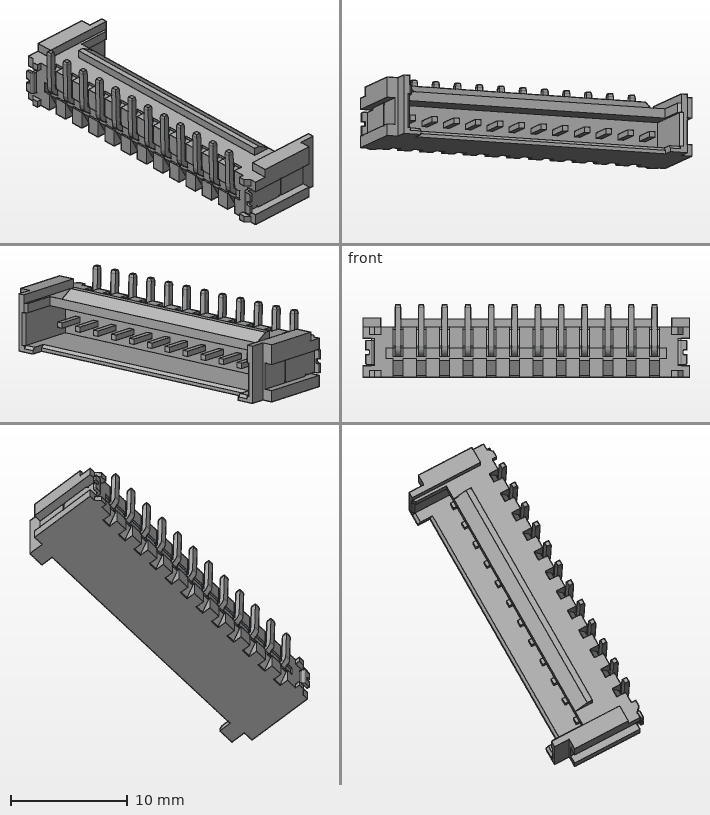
import cadquery as cq

LENGTH = 28.0
DEPTH = 8.3
HEIGHT = 6.22
HALF_LENGTH = LENGTH / 2

FRONT_Y = 0.48
BLOCK_BACK_Y = 6.85
BODY_TOP_Z = 4.3
CHEEK_TOP_Z = 5.1
CHEEK_FRONT_Y = 1.62
CHEEK_INNER_X = HALF_LENGTH - 1.55
ARM_OUTER_X = HALF_LENGTH - 0.98

CAVITY_FRONT_Y = 2.8
CAVITY_FLOOR_Z = 0.55
CAVITY_CEILING_Z = 3.5
CAVITY_HALF_X = HALF_LENGTH - 1.6
LIP_HALF_X = HALF_LENGTH - 1.8
TOP_WALL_BACK_Y = 5.1
FOOT_INNER_X = HALF_LENGTH - 2.55
LEAD_IN = 0.25

RIDGE_HALF_X = HALF_LENGTH - 3.15
RIDGE_TOP_Z = 5.0
RIDGE_FRONT_Y = 3.42
RIDGE_CREST_Y = 3.92

RECESS_BOTTOM_Z = 1.0
RECESS_TOP_Z = 3.33
NAIL_OUTER_X = HALF_LENGTH - 0.73
NAIL_TIP_X = HALF_LENGTH - 0.22
NAIL_FRONT_Y = 0.03
NAIL_THICKNESS = NAIL_OUTER_X - ARM_OUTER_X
NAIL_BACK_Y = 4.15
NAIL_SHOULDER_Y = 1.4
NAIL_BOTTOM_Z = 1.1
NAIL_TOP_Z = 3.15
NAIL_GAP = 0.08
NAIL_CORNER = 0.15
NAIL_NOTCH_BOTTOM_Z = 1.93
NAIL_NOTCH_TOP_Z = 2.35
NAIL_NOTCH_DEPTH = 0.35

BUMP_FRONT_Y = 0.05
BUMP_OUTER_X = HALF_LENGTH - 0.55
LOWER_BUMP_TOP_Z = 0.6
UPPER_BUMP_BOTTOM_Z = 3.67

GROOVE_HALF_X = HALF_LENGTH - 2.0
GROOVE_BOTTOM_Z = 1.6
GROOVE_TOP_Z = 2.52
GROOVE_BACK_Y = FRONT_Y + 0.17
NOTCH_WIDTH = 0.85
NOTCH_BACK_Y = FRONT_Y + 0.85
NOSE_BOTTOM_Z = 1.43
NOSE_TOP_Z = 2.7
NOTCH_LOWER_Z = 0.17
NOTCH_UPPER_Z = 4.1
POCKET_BOTTOM_Z = 1.75
POCKET_BACK_Y = 0.98

PIN_COUNT = 12
PIN_PITCH = 2.0
PIN_WIDTH = 0.5
PIN_THICKNESS = 0.48
PIN_FRONT_Y = 0.08
PIN_BOTTOM_Z = POCKET_BOTTOM_Z
PIN_BEND_RADIUS = 0.85
PIN_SHOULDER_Z = 5.95
PIN_TIP_INSET = 0.05
PIN_MATING_Y = 5.2


def box(x0, x1, y0, y1, z0, z1):
    """Block between two opposite corners."""
    return cq.Workplane("XY").box(x1 - x0, y1 - y0, z1 - z0, centered=False).translate((x0, y0, z0))


def centred_box(half_x, y0, y1, z0, z1):
    """Block symmetric about the middle of the part."""
    return box(-half_x, half_x, y0, y1, z0, z1)


def extrude_along_x(points, half_x):
    """Closed (Y, Z) outline extruded to both sides of the middle plane."""
    return cq.Workplane("YZ").polyline(points).close().extrude(half_x, both=True)


def both_sides(shape):
    """A +X side feature together with its mirror image."""
    return shape.union(shape.mirror("YZ"))


def pin_positions():
    """X places of the evenly spaced pins."""
    first = -PIN_PITCH * (PIN_COUNT - 1) / 2
    return [first + i * PIN_PITCH for i in range(PIN_COUNT)]


def housing_block():
    """Solid block with raised cheeks and two arms that reach back beside the mouth."""
    block = centred_box(HALF_LENGTH, FRONT_Y, BLOCK_BACK_Y, 0, BODY_TOP_Z)
    foot_reach = centred_box(FOOT_INNER_X, BLOCK_BACK_Y, BLOCK_BACK_Y + LEAD_IN, 0, CAVITY_FLOOR_Z)
    arm = box(FOOT_INNER_X, ARM_OUTER_X, BLOCK_BACK_Y, DEPTH, 0, BODY_TOP_Z)
    arm_top = box(CHEEK_INNER_X, ARM_OUTER_X, CHEEK_FRONT_Y, DEPTH, BODY_TOP_Z, CHEEK_TOP_Z)
    cheek = box(CHEEK_INNER_X, HALF_LENGTH, CHEEK_FRONT_Y, BLOCK_BACK_Y, BODY_TOP_Z, CHEEK_TOP_Z)
    return block.union(foot_reach).union(both_sides(arm.union(arm_top).union(cheek)))


def mouth_flare(half_x, z0, z1):
    """Wedge-sided block that widens by the lead-in toward the mouth."""
    return (
        cq.Workplane("XY", origin=(0, 0, z0))
        .polyline([
            (-half_x, DEPTH - LEAD_IN),
            (half_x, DEPTH - LEAD_IN),
            (half_x + LEAD_IN, DEPTH),
            (-half_x - LEAD_IN, DEPTH),
        ])
        .close()
        .extrude(z1 - z0)
    )


def floor_lead_in(back_y, half_x):
    """Wedge that bevels the back edge of the cavity floor."""
    return extrude_along_x([
        (back_y - LEAD_IN, CAVITY_FLOOR_Z),
        (back_y, CAVITY_FLOOR_Z - LEAD_IN),
        (back_y, CAVITY_FLOOR_Z),
    ], half_x)


def mouth_lead_in():
    """Flared sides and bevelled floor edges of the mouth."""
    return (
        mouth_flare(CAVITY_HALF_X, CAVITY_FLOOR_Z, CAVITY_CEILING_Z)
        .union(mouth_flare(LIP_HALF_X, CAVITY_CEILING_Z, BODY_TOP_Z))
        .union(floor_lead_in(DEPTH, CAVITY_HALF_X))
        .union(floor_lead_in(BLOCK_BACK_Y + LEAD_IN, FOOT_INNER_X))
    )


def cavity():
    """Mating opening: a wide chamber, the gap in the top wall and a flared mouth."""
    chamber = centred_box(CAVITY_HALF_X, CAVITY_FRONT_Y, DEPTH, CAVITY_FLOOR_Z, CAVITY_CEILING_Z)
    top_gap = centred_box(LIP_HALF_X, TOP_WALL_BACK_Y, DEPTH, CAVITY_CEILING_Z, BODY_TOP_Z)
    return chamber.union(top_gap).union(mouth_lead_in())


def ridge():
    """Ridge with an upright front and a slope down to the back of the top wall."""
    return extrude_along_x([
        (RIDGE_FRONT_Y, BODY_TOP_Z),
        (RIDGE_FRONT_Y, RIDGE_TOP_Z),
        (RIDGE_CREST_Y, RIDGE_TOP_Z),
        (TOP_WALL_BACK_Y, BODY_TOP_Z),
    ], RIDGE_HALF_X)


def side_recess():
    """Shallow channel along the block side, deeper where the solder nail sits."""
    seat_back_y = NAIL_BACK_Y + NAIL_GAP
    channel = box(NAIL_OUTER_X, HALF_LENGTH, FRONT_Y, BLOCK_BACK_Y, RECESS_BOTTOM_Z, RECESS_TOP_Z)
    seat = box(ARM_OUTER_X, HALF_LENGTH, FRONT_Y, seat_back_y, RECESS_BOTTOM_Z, RECESS_TOP_Z)
    return channel.union(seat)


def solder_nail():
    """Plate in the side recess whose front end bends outward into a notched solder leg."""
    leg_back_y = NAIL_FRONT_Y + NAIL_THICKNESS
    bent_plate = (
        cq.Workplane("XY", origin=(0, 0, NAIL_BOTTOM_Z))
        .moveTo(NAIL_TIP_X, NAIL_FRONT_Y)
        .lineTo(NAIL_OUTER_X, NAIL_FRONT_Y)
        .radiusArc((ARM_OUTER_X, leg_back_y), NAIL_THICKNESS)
        .lineTo(ARM_OUTER_X, NAIL_SHOULDER_Y)
        .lineTo(NAIL_OUTER_X, NAIL_SHOULDER_Y)
        .lineTo(NAIL_OUTER_X, leg_back_y)
        .lineTo(NAIL_TIP_X, leg_back_y)
        .close()
        .extrude(NAIL_TOP_Z - NAIL_BOTTOM_Z)
    )
    strip = bent_plate.faces(">X").edges("|Y").fillet(NAIL_CORNER)
    notch = box(
        NAIL_TIP_X - NAIL_NOTCH_DEPTH, NAIL_TIP_X, NAIL_FRONT_Y, leg_back_y,
        NAIL_NOTCH_BOTTOM_Z, NAIL_NOTCH_TOP_Z,
    ).faces("<X").edges("|Y").fillet(NAIL_CORNER)
    plate = (
        box(ARM_OUTER_X, NAIL_OUTER_X, NAIL_SHOULDER_Y, NAIL_BACK_Y, RECESS_BOTTOM_Z, RECESS_TOP_Z)
        .edges("|X and >Y").chamfer(NAIL_CORNER)
        .edges("|X and <Y").chamfer(RECESS_TOP_Z - NAIL_TOP_Z)
    )
    return strip.cut(notch).union(plate)


def front_bump(z0, z1):
    """Standoff with a bevelled outer corner."""
    return (
        cq.Workplane("XY", origin=(0, 0, z0))
        .polyline([
            (CHEEK_INNER_X, FRONT_Y),
            (CHEEK_INNER_X, BUMP_FRONT_Y),
            (ARM_OUTER_X, BUMP_FRONT_Y),
            (BUMP_OUTER_X, FRONT_Y),
        ])
        .close()
        .extrude(z1 - z0)
    )


def pin_notch():
    """Gap at one pin that leaves a wedge-shaped nose, with a pocket under the bend."""
    notch = extrude_along_x([
        (FRONT_Y, 0),
        (NOTCH_BACK_Y, 0),
        (NOTCH_BACK_Y, NOTCH_LOWER_Z),
        (GROOVE_BACK_Y, NOSE_BOTTOM_Z),
        (GROOVE_BACK_Y, NOSE_TOP_Z),
        (NOTCH_BACK_Y, NOTCH_UPPER_Z),
        (NOTCH_BACK_Y, BODY_TOP_Z),
        (FRONT_Y, BODY_TOP_Z),
    ], NOTCH_WIDTH / 2)
    pocket = centred_box(NOTCH_WIDTH / 2, FRONT_Y, POCKET_BACK_Y, POCKET_BOTTOM_Z, GROOVE_TOP_Z)
    return notch.union(pocket)


def pin():
    """Pin with a mating blade along Y, a bend, then a slightly leaning leg with a tapered tip."""
    bend_y = PIN_FRONT_Y + PIN_BEND_RADIUS
    bend_z = PIN_BOTTOM_Z + PIN_BEND_RADIUS
    leg_back_y = PIN_FRONT_Y + PIN_THICKNESS
    blade_top_z = PIN_BOTTOM_Z + PIN_THICKNESS
    shank = (
        cq.Workplane("YZ")
        .moveTo(PIN_MATING_Y, PIN_BOTTOM_Z)
        .lineTo(bend_y, PIN_BOTTOM_Z)
        .radiusArc((PIN_FRONT_Y, bend_z), PIN_BEND_RADIUS)
        .lineTo(0, PIN_SHOULDER_Z)
        .lineTo(PIN_THICKNESS, PIN_SHOULDER_Z)
        .lineTo(leg_back_y, bend_z)
        .radiusArc((bend_y, blade_top_z), -(PIN_BEND_RADIUS - PIN_THICKNESS))
        .lineTo(PIN_MATING_Y, blade_top_z)
        .close()
        .extrude(PIN_WIDTH / 2, both=True)
    )
    tip = (
        cq.Workplane("XY", origin=(0, PIN_THICKNESS / 2, PIN_SHOULDER_Z))
        .rect(PIN_WIDTH, PIN_THICKNESS)
        .workplane(offset=HEIGHT - PIN_SHOULDER_Z)
        .rect(PIN_WIDTH - 2 * PIN_TIP_INSET, PIN_THICKNESS - 2 * PIN_TIP_INSET)
        .loft()
    )
    return shank.union(tip)


housing = housing_block().cut(cavity()).union(ridge())
housing = housing.cut(both_sides(side_recess()))
housing = housing.cut(centred_box(GROOVE_HALF_X, FRONT_Y, GROOVE_BACK_Y, GROOVE_BOTTOM_Z, GROOVE_TOP_Z))
bumps = front_bump(0, LOWER_BUMP_TOP_Z).union(front_bump(UPPER_BUMP_BOTTOM_Z, BODY_TOP_Z))
housing = housing.union(both_sides(bumps)).union(both_sides(solder_nail()))
for x in pin_positions():
    housing = housing.cut(pin_notch().translate((x, 0, 0)))
for x in pin_positions():
    housing = housing.union(pin().translate((x, 0, 0)))

result = housing